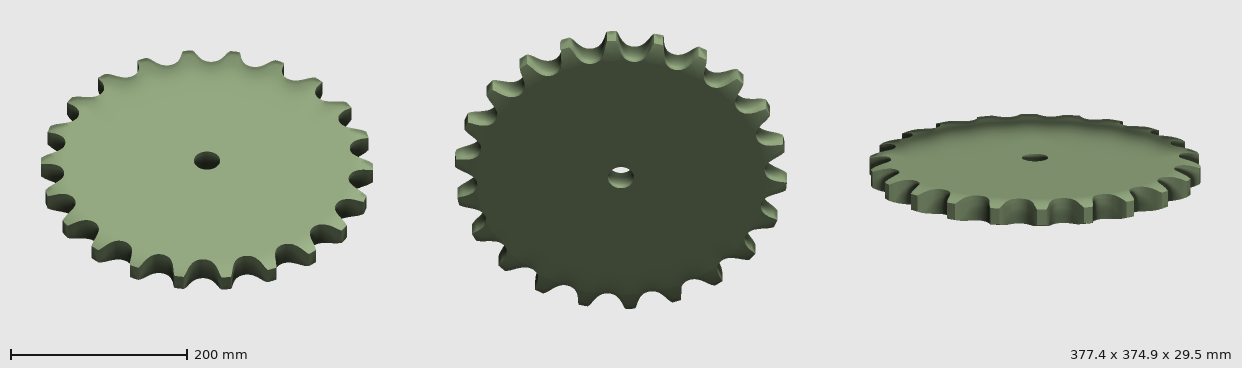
import cadquery as cq
import math

tooth_count = 22
tip_radius = 188.7
thickness = 29.5
bore_diameter = 30.0

face_radius = 164.5
tip_thickness = 19.0

pitch_radius = 178.5
seat_radius = 15.0
seat_angle = 37.7
working_radius = 37.7
working_sweep = 15.5
straight_length = 3.5
topping_radius = 34.0
topping_sweep = 15.0

half_pitch = math.pi / tooth_count
turn_per_tooth = 2 * half_pitch


def polar(radius, angle):
    return (radius * math.cos(angle), radius * math.sin(angle))


def moved(point, distance, heading):
    dx, dy = polar(distance, heading)
    return (point[0] + dx, point[1] + dy)


def rotated(point, angle):
    return polar(math.hypot(*point), math.atan2(point[1], point[0]) + angle)


def mirrored(point):
    return (point[0], -point[1])


def tangent_arc(start, heading, radius, sweep):
    """Middle and end points of an arc leaving start along heading; a positive sweep turns left."""
    middle = moved(start, 2 * radius * math.sin(abs(sweep) / 4), heading + sweep / 4)
    end = moved(start, 2 * radius * math.sin(abs(sweep) / 2), heading + sweep / 2)
    return middle, end


def flank_points():
    """Points from the gap bottom, below the +X axis, up one flank of the tooth centred on +X."""
    root = polar(pitch_radius - seat_radius, -half_pitch)
    root_heading = math.pi / 2 - half_pitch
    seat_sweep = math.pi / 2 - math.radians(seat_angle)
    seat_middle, seat_end = tangent_arc(root, root_heading, seat_radius, -seat_sweep)

    seat_heading = root_heading - seat_sweep
    sweep = math.radians(working_sweep)
    working_middle, working_end = tangent_arc(seat_end, seat_heading, working_radius, -sweep)

    flank_heading = seat_heading - sweep
    straight_end = moved(working_end, straight_length, flank_heading)
    topping_middle, topping_end = tangent_arc(
        straight_end, flank_heading, topping_radius, math.radians(topping_sweep)
    )
    return [
        root, seat_middle, seat_end, working_middle, working_end,
        straight_end, topping_middle, topping_end,
    ]


def toothed_blank():
    """Plate with untrimmed teeth that reach past the tip circle."""
    rising = flank_points()
    falling = [mirrored(point) for point in reversed(rising)]
    outline = cq.Workplane("XY", origin=(0, 0, -thickness / 2)).moveTo(*rising[0])
    for index in range(tooth_count):
        turn = turn_per_tooth * index
        up = [rotated(point, turn) for point in rising]
        down = [rotated(point, turn) for point in falling]
        outline = (
            outline.threePointArc(up[1], up[2])
            .threePointArc(up[3], up[4])
            .lineTo(*up[5])
            .threePointArc(up[6], up[7])
            .lineTo(*down[0])
            .threePointArc(down[1], down[2])
            .lineTo(*down[3])
            .threePointArc(down[4], down[5])
            .threePointArc(down[6], down[7])
        )
    return outline.close().extrude(thickness)


def rounded_side_envelope():
    """Disc whose flat faces curve tangentially inward to the thinner tip rim."""
    half = thickness / 2
    half_tip = tip_thickness / 2
    run = tip_radius - face_radius
    drop = half - half_tip
    side_radius = (run**2 + drop**2) / (2 * drop)
    middle_angle = math.asin(run / side_radius) / 2
    middle_r = face_radius + side_radius * math.sin(middle_angle)
    middle_z = half - side_radius * (1 - math.cos(middle_angle))
    return (
        cq.Workplane("XZ")
        .moveTo(0, -half)
        .lineTo(face_radius, -half)
        .threePointArc((middle_r, -middle_z), (tip_radius, -half_tip))
        .lineTo(tip_radius, half_tip)
        .threePointArc((middle_r, middle_z), (face_radius, half))
        .lineTo(0, half)
        .close()
        .revolve(360, (0, 0, 0), (0, 1, 0))
    )


def bore():
    return (
        cq.Workplane("XY", origin=(0, 0, -thickness / 2))
        .circle(bore_diameter / 2)
        .extrude(thickness)
    )


result = toothed_blank().intersect(rounded_side_envelope()).cut(bore())